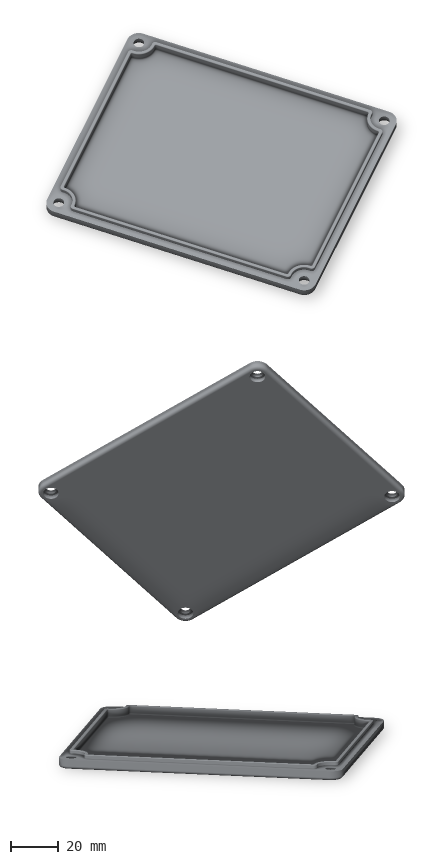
import cadquery as cq

LENGTH = 120.4
WIDTH = 100.4
HEIGHT = 5.7
LIP_HEIGHT = 1.7
PLATE_THICKNESS = HEIGHT - LIP_HEIGHT
CORNER_RADIUS = 5.0
BOTTOM_FILLET = 1.2

HOLE_DIAMETER = 4.5
HOLE_INSET = 5.2
HOLE_SPACING_X = LENGTH - 2 * HOLE_INSET
HOLE_SPACING_Y = WIDTH - 2 * HOLE_INSET
COUNTERBORE_DIAMETER = 6.5
COUNTERBORE_DEPTH = 2.0

LIP_INSET = 3.1
LIP_WALL = 1.5
LIP_CLEARANCE_RADIUS = 5.7
LIP_CORNER_RADIUS = 1.5
LIP_OUTER_FILLET = 0.2
LIP_INNER_FILLET = 0.4

FLOOR_THICKNESS = 2.0
FLOOR_FILLET = 0.5
RECESS_CORNER_RADIUS = 0.6


def corner_cylinders(radius, bottom, height):
    """Four upright cylinders on the screw axes."""
    return (
        cq.Workplane("XY")
        .workplane(offset=bottom)
        .rect(HOLE_SPACING_X, HOLE_SPACING_Y, forConstruction=True)
        .vertices()
        .circle(radius)
        .extrude(height)
    )


def notched_block(inset, clearance_radius, corner_radius, bottom):
    """Block from `bottom` up to the lip's top, cut back by an arc around each screw hole."""
    height = HEIGHT - bottom
    block = (
        cq.Workplane("XY")
        .workplane(offset=bottom)
        .rect(LENGTH - 2 * inset, WIDTH - 2 * inset)
        .extrude(height)
    )
    notches = corner_cylinders(clearance_radius, bottom, height)
    return block.cut(notches).edges("|Z").fillet(corner_radius)


def rounded_plate():
    """Plate with rounded corners and a rounded bottom edge."""
    plate = cq.Workplane("XY").box(LENGTH, WIDTH, PLATE_THICKNESS, centered=(True, True, False))
    plate = plate.edges("|Z").fillet(CORNER_RADIUS)
    return plate.faces("<Z").edges().fillet(BOTTOM_FILLET)


def lip_island():
    """Solid island standing on the plate, with a rounded outer top edge."""
    island = notched_block(LIP_INSET, LIP_CLEARANCE_RADIUS, LIP_CORNER_RADIUS, PLATE_THICKNESS)
    return island.faces(">Z").edges().fillet(LIP_OUTER_FILLET)


def recess():
    """Volume hollowed out of the island and plate, rounded where its walls meet the floor."""
    pocket = notched_block(
        LIP_INSET + LIP_WALL,
        LIP_CLEARANCE_RADIUS + LIP_WALL,
        RECESS_CORNER_RADIUS,
        FLOOR_THICKNESS,
    )
    return pocket.faces("<Z").edges().fillet(FLOOR_FILLET)


def round_lip_inner_edge(lid):
    """Round the edge where the lip's top face meets the recess wall."""
    lip_top = lid.faces(">Z").val()
    inner_edges = lip_top.innerWires()[0].Edges()
    return lid.newObject(inner_edges).fillet(LIP_INNER_FILLET)


lid = rounded_plate().union(lip_island()).cut(recess())
lid = round_lip_inner_edge(lid)
screw_holes = corner_cylinders(HOLE_DIAMETER / 2, 0, PLATE_THICKNESS)
counterbores = corner_cylinders(COUNTERBORE_DIAMETER / 2, 0, COUNTERBORE_DEPTH)
result = lid.cut(screw_holes).cut(counterbores)